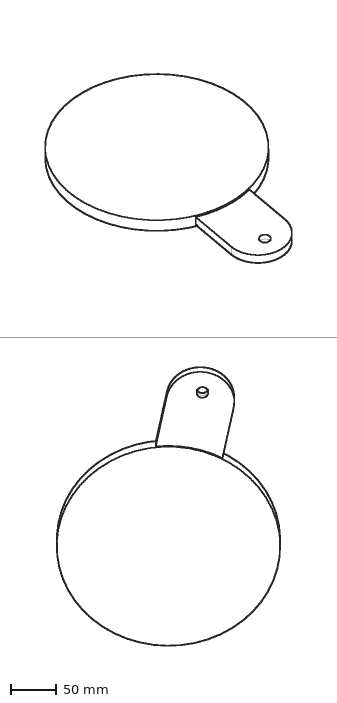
import cadquery as cq

overall_length = 343.2
disc_diameter = 247.8
disc_thickness = 15.8
handle_width = 75.5
handle_thickness = 11.5
hole_diameter = 13.0
hole_to_handle_tip = 25.5

disc_radius = disc_diameter / 2
handle_end_radius = handle_width / 2
handle_tip_x = overall_length - disc_radius
handle_end_center_x = handle_tip_x - handle_end_radius
hole_x = handle_tip_x - hole_to_handle_tip


def make_disc():
    """Flat round plate, centred on the mid-plane Z = 0."""
    return cq.Workplane("XY").circle(disc_radius).extrude(disc_thickness / 2, both=True)


def make_handle():
    """Thinner round-ended tab on the same mid-plane, starting inside the disc."""
    return (
        cq.Workplane("XY")
        .moveTo(0, -handle_end_radius)
        .lineTo(handle_end_center_x, -handle_end_radius)
        .threePointArc((handle_tip_x, 0), (handle_end_center_x, handle_end_radius))
        .lineTo(0, handle_end_radius)
        .close()
        .extrude(handle_thickness / 2, both=True)
    )


def make_hanging_hole():
    """Cutter for the hole through the handle near its tip."""
    return (
        cq.Workplane("XY")
        .center(hole_x, 0)
        .circle(hole_diameter / 2)
        .extrude(handle_thickness, both=True)
    )


result = make_disc().union(make_handle()).cut(make_hanging_hole())